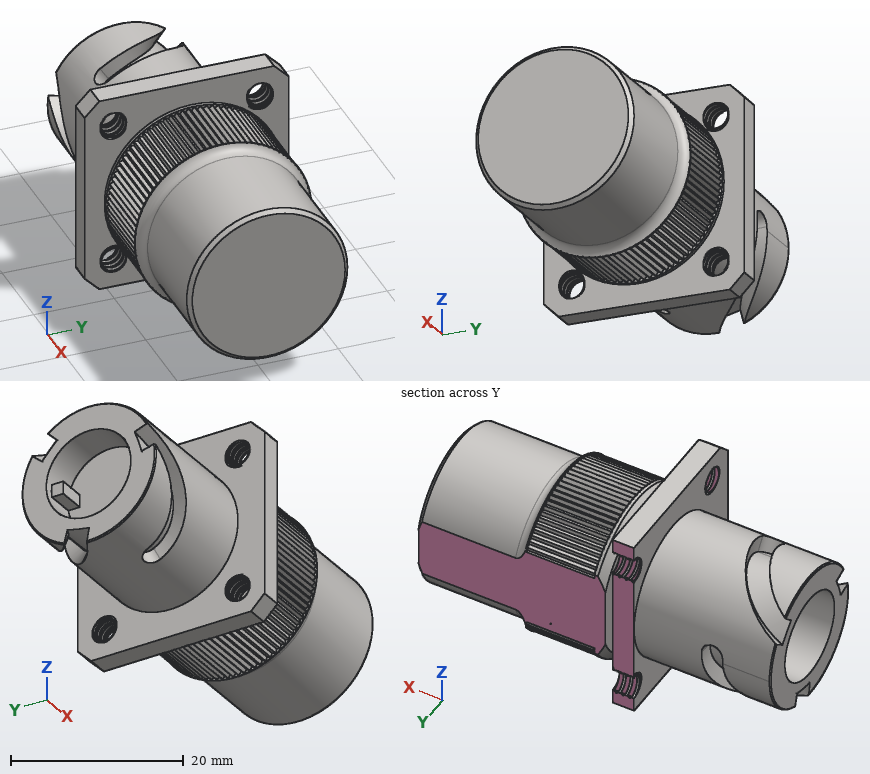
import cadquery as cq
import math

TOTAL_LENGTH = 47.0
FLANGE_FRONT = 18.2
FLANGE_THICKNESS = 2.85
FLANGE_BACK = FLANGE_FRONT + FLANGE_THICKNESS

BARREL_RADIUS = 9.1
BARREL_CHAMFER = 0.15
SOCKET_RADIUS = 5.75
SOCKET_DEPTH = 4.8
KEY_FRONT = 1.15
KEY_WIDTH = 1.65
KEY_TIP_RADIUS = 4.15

SLOT_COUNT = 3
SLOT_WIDTH = 2.8
SLOT_FLOOR_RADIUS = 7.15
SLOT_END_X = 7.8
SLOT_END_ANGLE = -63.5
SLOT_CURVE_RADIUS = 14.8
SLOT_RUNOUT = 2.0
SLOT_CUT_HEIGHT = 3.0
SLOT_POINTS = 13

FLANGE_SIZE = 25.4
FLANGE_CORNER = 1.84
MOUNT_OFFSET = 9.1
MOUNT_HOLE_RADIUS = 1.62
THREAD_PITCH = 0.9
THREAD_DEPTH = 0.25
THREAD_WIDTH = 0.6
THREAD_OVERLAP = 0.1
THREAD_PHASE = -45.0

NECK_RADIUS = 8.0
NECK_LAND = 0.43
NECK_ROOT_RADIUS = 7.2

RING_FRONT = 22.0
RING_RADIUS = 11.0
RING_CHAMFER = 1.0
RING_BACK = 32.65
KNURL_FRONT = 23.5
KNURL_BACK = 32.55
KNURL_COUNT = 91
KNURL_DEPTH = 0.48
KNURL_WIDTH = 0.9
SLEEVE_RADIUS = 10.0
SLEEVE_FILLET_END = 34.05
SLEEVE_CHAMFER = 0.5


def turned_body():
    """Barrel, neck, ring and rear sleeve as one revolved profile."""
    step = RING_RADIUS - SLEEVE_RADIUS
    run = SLEEVE_FILLET_END - RING_BACK
    fillet_radius = (run ** 2 + step ** 2) / (2 * step)
    half_turn = math.atan2(run, fillet_radius - step) / 2
    fillet_mid = (
        SLEEVE_FILLET_END - fillet_radius * math.sin(half_turn),
        SLEEVE_RADIUS + fillet_radius * (1 - math.cos(half_turn)),
    )
    neck_end = FLANGE_BACK + NECK_LAND
    return (
        cq.Workplane("XY")
        .moveTo(0, 0)
        .lineTo(0, BARREL_RADIUS - BARREL_CHAMFER)
        .lineTo(BARREL_CHAMFER, BARREL_RADIUS)
        .lineTo(FLANGE_BACK, BARREL_RADIUS)
        .lineTo(FLANGE_BACK, NECK_RADIUS)
        .lineTo(neck_end, NECK_RADIUS)
        .lineTo(RING_FRONT, NECK_ROOT_RADIUS)
        .lineTo(RING_FRONT, RING_RADIUS - RING_CHAMFER)
        .lineTo(RING_FRONT + RING_CHAMFER, RING_RADIUS)
        .lineTo(RING_BACK, RING_RADIUS)
        .threePointArc(fillet_mid, (SLEEVE_FILLET_END, SLEEVE_RADIUS))
        .lineTo(TOTAL_LENGTH - SLEEVE_CHAMFER, SLEEVE_RADIUS)
        .lineTo(TOTAL_LENGTH, SLEEVE_RADIUS - SLEEVE_CHAMFER)
        .lineTo(TOTAL_LENGTH, 0)
        .close()
        .revolve(360, (0, 0, 0), (1, 0, 0))
    )


def flange():
    """Square plate with chamfered corners."""
    return (
        cq.Workplane("YZ", origin=(FLANGE_FRONT, 0, 0))
        .rect(FLANGE_SIZE, FLANGE_SIZE)
        .extrude(FLANGE_THICKNESS)
        .edges("|X")
        .chamfer(FLANGE_CORNER)
    )


def thread_groove():
    """Helical V groove about the X axis, running past both flange faces."""
    height = FLANGE_THICKNESS + 2 * THREAD_PITCH
    inner = MOUNT_HOLE_RADIUS - THREAD_OVERLAP
    outer = MOUNT_HOLE_RADIUS + THREAD_DEPTH
    path = cq.Workplane(cq.Wire.makeHelix(THREAD_PITCH, height, MOUNT_HOLE_RADIUS))
    groove = (
        cq.Workplane("XZ")
        .polyline([(inner, -THREAD_WIDTH / 2), (outer, 0), (inner, THREAD_WIDTH / 2)])
        .close()
        .sweep(path, isFrenet=True)
    )
    along_x = groove.rotate((0, 0, 0), (0, 1, 0), 90).rotate((0, 0, 0), (1, 0, 0), THREAD_PHASE)
    return along_x.translate((FLANGE_FRONT - THREAD_PITCH, 0, 0))


def cut_mount_holes(body):
    """Four threaded holes, mirrored about both middle planes of the flange."""
    bore = (
        cq.Workplane("YZ", origin=(FLANGE_FRONT, 0, 0))
        .circle(MOUNT_HOLE_RADIUS)
        .extrude(FLANGE_THICKNESS)
    )
    for cutter in (thread_groove(), bore):
        first = cutter.translate((0, MOUNT_OFFSET, MOUNT_OFFSET))
        for upper in (first, first.mirror("XZ")):
            body = body.cut(upper).cut(upper.mirror("XY"))
    return body


def socket():
    """Round socket in the barrel face, less the locating key on its +Y side."""
    bore = cq.Workplane("YZ").circle(SOCKET_RADIUS).extrude(SOCKET_DEPTH)
    key_height = BARREL_RADIUS - KEY_TIP_RADIUS
    key = cq.Workplane("XY").box(
        SOCKET_DEPTH - KEY_FRONT, key_height, KEY_WIDTH, centered=(False, False, True)
    )
    return bore.cut(key.translate((KEY_FRONT, KEY_TIP_RADIUS, 0)))


def slot_corner(turn, side, height):
    """Point on a corner line of the slot; turn runs along the path from its closed end."""
    x = SLOT_END_X - SLOT_CURVE_RADIUS * (1 - math.cos(turn))
    angle = math.radians(SLOT_END_ANGLE) + SLOT_CURVE_RADIUS * math.sin(turn) / BARREL_RADIUS
    x += side * math.cos(turn) * SLOT_WIDTH / 2
    across = side * math.sin(turn) * SLOT_WIDTH / 2
    radius = SLOT_FLOOR_RADIUS + height
    return cq.Vector(
        x,
        -radius * math.cos(angle) + across * math.sin(angle),
        radius * math.sin(angle) + across * math.cos(angle),
    )


def bayonet_slot():
    """Curved slot with a flat floor across its width and a round closed end."""
    last_turn = math.acos(1 - (SLOT_END_X + SLOT_RUNOUT) / SLOT_CURVE_RADIUS)
    turns = [last_turn * i / (SLOT_POINTS - 1) for i in range(SLOT_POINTS)]
    section = [(-1, 0), (1, 0), (1, SLOT_CUT_HEIGHT), (-1, SLOT_CUT_HEIGHT)]
    rails = [
        cq.Edge.makeSpline([slot_corner(turn, side, height) for turn in turns])
        for side, height in section
    ]
    faces = [cq.Face.makeRuledSurface(rails[i - 1], rails[i]) for i in range(len(rails))]
    for turn in (turns[0], turns[-1]):
        corners = [slot_corner(turn, side, height) for side, height in section]
        faces.append(cq.Face.makeFromWires(cq.Wire.makePolygon(corners, close=True)))
    groove = cq.Solid.makeSolid(cq.Shell.makeShell(faces))
    end_center = (slot_corner(0, 1, 0) + slot_corner(0, -1, 0)) * 0.5
    outward = slot_corner(0, 0, 1) - slot_corner(0, 0, 0)
    round_end = cq.Solid.makeCylinder(SLOT_WIDTH / 2, SLOT_CUT_HEIGHT, end_center, outward)
    return cq.Workplane(groove.fix()), cq.Workplane(round_end)


def knurl_grooves():
    """Straight V grooves around the ring, meeting in sharp crests."""
    outer = RING_RADIUS + KNURL_DEPTH
    groove = (
        cq.Workplane("YZ", origin=(KNURL_FRONT, 0, 0))
        .polyline([(-KNURL_WIDTH, outer), (0, RING_RADIUS - KNURL_DEPTH), (KNURL_WIDTH, outer)])
        .close()
        .extrude(KNURL_BACK - KNURL_FRONT)
        .val()
    )
    step = 360 / KNURL_COUNT
    return [
        groove.rotate(cq.Vector(0, 0, 0), cq.Vector(1, 0, 0), (i + 0.5) * step)
        for i in range(KNURL_COUNT)
    ]


body = turned_body().union(flange()).cut(socket())
for i in range(SLOT_COUNT):
    for cutter in bayonet_slot():
        body = body.cut(cutter.rotate((0, 0, 0), (1, 0, 0), i * 360 / SLOT_COUNT))
body = cut_mount_holes(body)
result = cq.Workplane(body.val().cut(*knurl_grooves()))